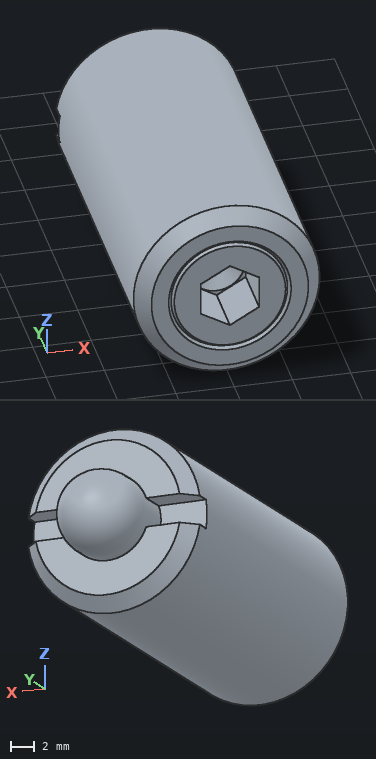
import cadquery as cq
import math

total_length = 37.0
body_diameter = 16.0
body_chamfer = 1.25

pin_diameter = 7.5
pin_projection = 5.0

slot_width = 2.5
slot_depth = 2.5

seam_outer_diameter = 10.5
seam_root_diameter = 10.0
seam_inner_diameter = 9.55

hex_across_flats = 5.0
hex_depth = 5.0
drill_diameter = 4.9
drill_point_angle = 120.0

body_radius = body_diameter / 2
pin_radius = pin_diameter / 2
drive_face_y = -total_length / 2
pin_tip_y = total_length / 2
pin_face_y = pin_tip_y - pin_projection
body_length = pin_face_y - drive_face_y


def make_body():
    """Cylinder with a chamfer at each end."""
    body = cq.Workplane("XZ", origin=(0, pin_face_y, 0)).circle(body_radius).extrude(body_length)
    return body.faces("<Y or >Y").chamfer(body_chamfer)


def make_slot():
    """Screwdriver slot running across the pin end along X."""
    slot = cq.Workplane("XY").box(body_diameter, slot_depth, slot_width)
    return slot.translate((0, pin_face_y - slot_depth / 2, 0))


def make_pin():
    """Pin with a hemispherical nose, rooted below the slot floor."""
    root_y = pin_face_y - 2 * slot_depth
    shoulder_y = pin_tip_y - pin_radius
    nose_offset = pin_radius * math.sqrt(0.5)
    profile = (
        cq.Workplane("XY")
        .moveTo(0, root_y)
        .lineTo(pin_radius, root_y)
        .lineTo(pin_radius, shoulder_y)
        .threePointArc((nose_offset, shoulder_y + nose_offset), (0, pin_tip_y))
        .close()
    )
    return profile.revolve(360, (0, 0, 0), (0, 1, 0))


def make_seam_groove():
    """V-shaped ring where the drive plug meets the sleeve, with a 45 degree outer wall."""
    seam_depth = (seam_outer_diameter - seam_root_diameter) / 2
    profile = cq.Workplane("XY").polyline([
        (seam_inner_diameter / 2, drive_face_y),
        (seam_root_diameter / 2, drive_face_y + seam_depth),
        (seam_outer_diameter / 2, drive_face_y),
    ]).close()
    return profile.revolve(360, (0, 0, 0), (0, 1, 0))


def make_hex_socket():
    """Hexagonal socket, corners along Z, ending in a conical drill point."""
    across_corners = hex_across_flats / math.cos(math.radians(30))
    socket = (
        cq.Workplane("XZ", origin=(0, drive_face_y, 0))
        .transformed(rotate=(0, 0, 90))
        .polygon(6, across_corners)
        .extrude(-hex_depth)
    )
    drill_radius = drill_diameter / 2
    point_length = drill_radius / math.tan(math.radians(drill_point_angle / 2))
    floor_y = drive_face_y + hex_depth
    drill_point = cq.Workplane("XY").polyline([
        (0, floor_y),
        (drill_radius, floor_y),
        (0, floor_y + point_length),
    ]).close().revolve(360, (0, 0, 0), (0, 1, 0))
    return socket.union(drill_point)


result = (
    make_body()
    .cut(make_slot())
    .union(make_pin())
    .cut(make_seam_groove())
    .cut(make_hex_socket())
)